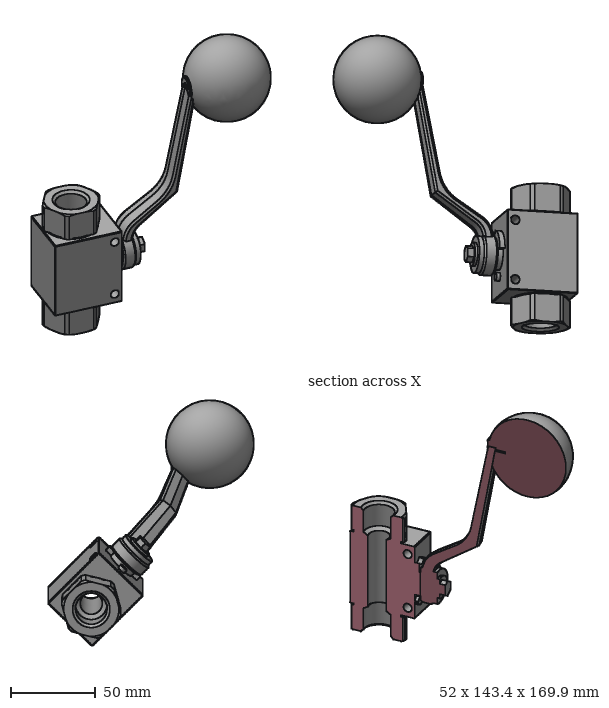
import cadquery as cq
import math


block_width = 37.0
block_height = 48.5
block_front = -18.0
block_back = 25.0
block_chamfer = 0.5
mounting_hole_diameter = 5.25
mounting_hole_inset = 4.75
mounting_hole_spacing = 36.0

hex_turn = 30.0

overall_height = 83.4
hex_across_flats = 32.0
hex_corner_diameter = 35.5
hex_end_diameter = 32.5
hex_end_chamfer_height = 0.6
neck_diameter = 32.0
neck_height = 0.75
bore_diameter = 13.0
thread_diameter = 18.63
thread_depth = 16.0
drill_point_angle = 118.0
mouth_diameter = 22.0

stem_diameter = 17.0
stop_height = 3.2
stop_width = 25.7
stop_offset = 2.0
stop_notch_diameter = 5.25
stop_pin_diameter = 5.0
stop_pin_height = 2.4
stop_pin_drop = 12.7

hub_diameter = 24.2
hub_front = 28.7
hub_length = 8.4
hub_chamfer = 1.2
washer_diameter = 22.0
washer_thickness = 2.9
lock_washer_diameter = 14.0
lock_washer_thickness = 1.6
screw_head_across_corners = 10.0
screw_head_height = 3.8

arm_front_base = (29.3, 0.0)
arm_front_lower_bend = (29.3, 17.8)
arm_front_upper_bend = (59.8, 37.4)
arm_front_tip = (73.2, 104.5)
arm_back_tip = (79.2, 104.5)
arm_back_upper_bend = (66.4, 34.2)
arm_back_lower_bend = (37.7, 14.0)
arm_back_base = (37.7, 0.0)
front_lower_bend_radius = 16.0
front_upper_bend_radius = 22.0
back_lower_bend_radius = 10.0
arm_base_width = 15.6
arm_tip_width = 12.0
arm_ridge_angle = 10.0
arm_edge_chamfer = 1.2

knob_diameter = 52.0
knob_back = 125.45
knob_center_height = 102.2
knob_boss_diameter = 13.0
knob_boss_chamfer = 0.7
knob_boss_face = 73.0
stud_diameter = 5.0
stud_length = 12.0
stud_center_hole_diameter = 2.0
stud_center_hole_depth = 0.5

knob_center_y = knob_back - knob_diameter / 2
hub_back = hub_front + hub_length


def cylinder_along_y(diameter, y_start, length, z=0.0):
    return cq.Workplane("XZ", origin=(0, y_start, z)).circle(diameter / 2).extrude(-length)


def connector():
    """Upper end connector: a neck and a hexagon with its corners turned down."""
    neck_start = block_height / 2
    hex_start = neck_start + neck_height
    hex_height = overall_height / 2 - hex_start
    hexagon = (
        cq.Workplane("XY", origin=(0, 0, hex_start))
        .polygon(6, hex_across_flats / math.cos(math.radians(hex_turn)))
        .extrude(hex_height)
        .rotate((0, 0, 0), (0, 0, 1), hex_turn)
    )
    turned = (
        cq.Workplane("XY", origin=(0, 0, hex_start))
        .circle(hex_corner_diameter / 2)
        .extrude(hex_height)
        .faces(">Z")
        .chamfer(hex_end_chamfer_height, (hex_corner_diameter - hex_end_diameter) / 2)
    )
    neck = cq.Workplane("XY", origin=(0, 0, neck_start)).circle(neck_diameter / 2).extrude(neck_height)
    return hexagon.intersect(turned).union(neck)


def thread_bore():
    """Threaded mouth of the upper connector, with its lead-in cone and drill point."""
    top = overall_height / 2
    lead_in = (mouth_diameter - thread_diameter) / 2
    bottom = top - thread_depth
    point_height = thread_diameter / 2 / math.tan(math.radians(drill_point_angle / 2))
    return (
        cq.Workplane("XZ")
        .moveTo(0, bottom - point_height)
        .lineTo(thread_diameter / 2, bottom)
        .lineTo(thread_diameter / 2, top - lead_in)
        .lineTo(mouth_diameter / 2, top)
        .lineTo(0, top)
        .close()
        .revolve(360, (0, 0, 0), (0, 1, 0))
    )


def stop_plate():
    """Half disc above the stem, notched at its crown."""
    radius = stop_width / 2
    plate = (
        cq.Workplane("XZ", origin=(0, block_back, stop_offset))
        .moveTo(-radius, 0)
        .threePointArc((0, radius), (radius, 0))
        .close()
        .extrude(-stop_height)
    )
    notch = cylinder_along_y(stop_notch_diameter, block_back, stop_height, z=stop_offset + radius)
    return plate.cut(notch)


def make_valve():
    depth = block_back - block_front
    valve = (
        cq.Workplane("XY", origin=(0, (block_front + block_back) / 2, 0))
        .box(block_width, depth, block_height)
        .edges()
        .chamfer(block_chamfer)
    )
    for side in (1, -1):
        turn = 0 if side == 1 else 180
        valve = valve.union(connector().rotate((0, 0, 0), (0, 1, 0), turn))
        valve = valve.cut(thread_bore().rotate((0, 0, 0), (0, 1, 0), turn))
        hole_center = (0, block_back - mounting_hole_inset, side * mounting_hole_spacing / 2)
        hole = (
            cq.Workplane("YZ", origin=hole_center)
            .circle(mounting_hole_diameter / 2)
            .extrude(block_width / 2, both=True)
        )
        valve = valve.cut(hole)
    bore = cq.Workplane("XY").circle(bore_diameter / 2).extrude(overall_height / 2, both=True)
    valve = valve.cut(bore)
    valve = valve.union(cylinder_along_y(stem_diameter, block_back, hub_front - block_back))
    valve = valve.union(stop_plate())
    return valve.union(cylinder_along_y(stop_pin_diameter, block_back, stop_pin_height, z=-stop_pin_drop))


def arm_side_profile():
    """Side profile of the arm with its bends rounded, as a flat face in the plane x = 0."""
    corners = [
        arm_front_base,
        arm_front_lower_bend,
        arm_front_upper_bend,
        arm_front_tip,
        arm_back_tip,
        arm_back_upper_bend,
        arm_back_lower_bend,
        arm_back_base,
    ]
    bend_radii = {
        arm_front_lower_bend: front_lower_bend_radius,
        arm_front_upper_bend: front_upper_bend_radius,
        arm_back_lower_bend: back_lower_bend_radius,
    }
    face = cq.Face.makeFromWires(cq.Wire.makePolygon([cq.Vector(0, y, z) for y, z in corners], close=True))
    for (y, z), radius in bend_radii.items():
        vertex = min(face.Vertices(), key=lambda v: math.hypot(v.Y - y, v.Z - z))
        face = face.fillet2D(radius, [vertex])
    return face


def make_arm():
    """Cranked arm with a ridge along the middle of its faces and narrowing to its tip."""
    outline = arm_side_profile().outerWire()
    half = cq.Workplane("YZ").add(outline).toPending().extrude(arm_base_width / 2, taper=arm_ridge_angle)
    arm = half.union(half.mirror("YZ"))
    base_y = arm_front_base[0]
    tip_y = arm_back_tip[0]
    plan = (
        cq.Workplane("XY")
        .polyline(
            [
                (-arm_base_width / 2, base_y),
                (arm_base_width / 2, base_y),
                (arm_tip_width / 2, tip_y),
                (-arm_tip_width / 2, tip_y),
            ]
        )
        .close()
        .extrude(arm_back_tip[1])
    )
    arm = arm.intersect(plan)
    for side in ("<X", ">X"):
        arm = arm.faces(side).edges().chamfer(arm_edge_chamfer)
    return arm


def make_stud():
    """Round stud at the end of the lever, flush with the boss of the knob."""
    return cylinder_along_y(stud_diameter, knob_boss_face, stud_length, z=knob_center_height)


def make_lever():
    hub = cylinder_along_y(hub_diameter, hub_front, hub_length).edges().chamfer(hub_chamfer)
    lever = hub.union(make_arm())
    lever = lever.union(cylinder_along_y(washer_diameter, hub_back, washer_thickness))
    lock_washer_start = hub_back + washer_thickness
    lever = lever.union(cylinder_along_y(lock_washer_diameter, lock_washer_start, lock_washer_thickness))
    screw_start = lock_washer_start + lock_washer_thickness
    screw_head = (
        cq.Workplane("XZ", origin=(0, screw_start, 0))
        .transformed(rotate=(0, 0, hex_turn))
        .polygon(6, screw_head_across_corners)
        .extrude(-screw_head_height)
    )
    lever = lever.union(screw_head)
    center_hole = cylinder_along_y(
        stud_center_hole_diameter, knob_boss_face, stud_center_hole_depth, z=knob_center_height
    )
    return lever.union(make_stud()).cut(center_hole)


def make_knob(lever):
    """Ball with a small boss facing the lever and a socket that matches the lever's end."""
    ball_radius = knob_diameter / 2
    boss_radius = knob_boss_diameter / 2
    boss_length = knob_center_y - knob_boss_face
    boss_root = math.sqrt(ball_radius**2 - boss_radius**2)
    ball = (
        cq.Workplane("XY", origin=(0, knob_center_y, knob_center_height))
        .moveTo(0, -boss_length)
        .lineTo(boss_radius - knob_boss_chamfer, -boss_length)
        .lineTo(boss_radius, -boss_length + knob_boss_chamfer)
        .lineTo(boss_radius, -boss_root)
        .threePointArc((ball_radius, 0), (0, ball_radius))
        .close()
        .revolve(360, (0, 0, 0), (0, 1, 0))
    )
    return ball.cut(lever).cut(make_stud())


valve = make_valve()
lever = make_lever()
knob = make_knob(lever)

result = cq.Compound.makeCompound([valve.val(), lever.val(), knob.val()])